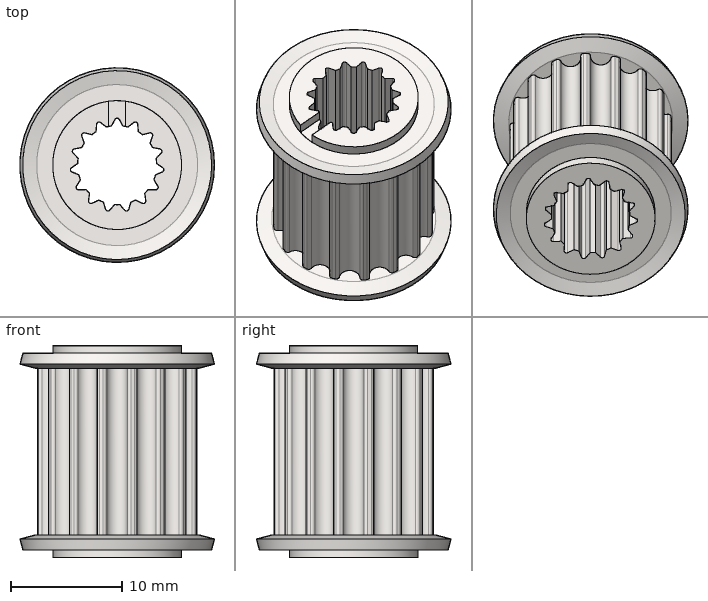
import cadquery as cq
import math

length = 19.05

tooth_count = 16
tooth_radius = 7.25
groove_depth = 1.16
groove_radius = 0.93
tooth_tip_fillet = 0.29

hub_radius = 5.8

flange_radius = 17.5 / 2
flange_thickness = 1.03
flange_inset = 1.01
flange_bend_radius = 7.37
flange_angle = 15.0

spline_count = 15
spline_minor_radius = 3.55
spline_major_radius = 4.21
spline_tip_radius = 0.21
spline_flank_angle = 28.5

slot_width = 1.55

belt_bottom = flange_inset + flange_thickness
belt_height = length - 2 * belt_bottom


def belt_teeth():
    """Toothed cylinder between the two flanges."""
    groove_centre = tooth_radius - groove_depth + groove_radius
    grooves = (
        cq.Workplane("XY")
        .workplane(offset=belt_bottom)
        .polarArray(groove_centre, 0, 360, tooth_count)
        .circle(groove_radius)
        .extrude(belt_height)
    )
    blank = cq.Workplane("XY").workplane(offset=belt_bottom).circle(tooth_radius).extrude(belt_height)
    return blank.cut(grooves).edges("|Z").fillet(tooth_tip_fillet)


def spline_space():
    """One tapered spline space with a round bottom, on the +Y side."""
    flank = math.radians(spline_flank_angle)
    tip_centre = spline_major_radius - spline_tip_radius
    tangent_x = spline_tip_radius * math.cos(flank)
    tangent_y = tip_centre + spline_tip_radius * math.sin(flank)
    base_y = spline_minor_radius * math.cos(math.pi / spline_count)
    base_x = tangent_x + (tangent_y - base_y) * math.tan(flank)
    return (
        cq.Workplane("XY")
        .moveTo(-base_x, base_y)
        .lineTo(-tangent_x, tangent_y)
        .threePointArc((0, spline_major_radius), (tangent_x, tangent_y))
        .lineTo(base_x, base_y)
        .close()
        .extrude(length)
    )


def splined_bore():
    """Through bore with evenly spaced spline spaces."""
    bore = cq.Workplane("XY").circle(spline_minor_radius).extrude(length)
    space = spline_space()
    for index in range(spline_count):
        bore = bore.union(space.rotate((0, 0, 0), (0, 0, 1), index * 360 / spline_count))
    return bore


def hub_slot():
    """Slot from the bore out through +Y, its floor level with the flat flange face."""
    return (
        cq.Workplane("XY")
        .workplane(offset=length - flange_inset)
        .center(0, hub_radius / 2)
        .rect(slot_width, hub_radius)
        .extrude(flange_inset)
    )


def pulley_core():
    """Belt teeth with a plain hub at each end, a splined bore and a slot in the upper hub."""
    hub = cq.Workplane("XY").circle(hub_radius).extrude(length)
    return belt_teeth().union(hub).cut(splined_bore()).cut(hub_slot())


def lower_flange():
    """Ring of sheet, flat round the hub, with its rim leaning towards the hub end."""
    lean = math.radians(flange_angle)
    inner_face = belt_bottom
    outer_face = flange_inset
    rim_z = inner_face - (flange_radius - flange_bend_radius) * math.tan(lean)
    rim_outer_radius = flange_radius - flange_thickness * math.sin(lean)
    rim_outer_z = rim_z - flange_thickness * math.cos(lean)
    outer_bend_radius = flange_bend_radius - flange_thickness * math.tan(lean / 2)
    return (
        cq.Workplane("XZ")
        .moveTo(hub_radius, inner_face)
        .lineTo(flange_bend_radius, inner_face)
        .lineTo(flange_radius, rim_z)
        .lineTo(rim_outer_radius, rim_outer_z)
        .lineTo(outer_bend_radius, outer_face)
        .lineTo(hub_radius, outer_face)
        .close()
        .revolve(360, (0, 0, 0), (0, 1, 0))
    )


def flange(upper):
    """A flange at the lower end, or its mirror image at the upper end."""
    ring = lower_flange()
    if upper:
        ring = ring.mirror("XY", (0, 0, length / 2))
    return ring


core = pulley_core()
flanges = [flange(upper).val() for upper in (False, True)]

result = cq.Compound.makeCompound([core.val(), *flanges])